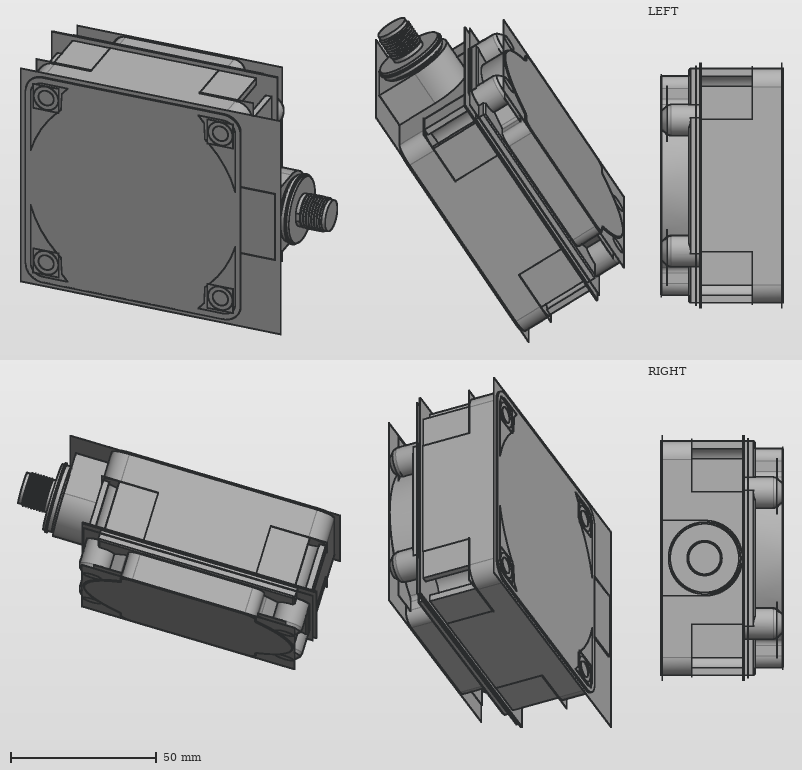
import cadquery as cq
import math

QUADRANTS = [(1, 1), (-1, 1), (-1, -1), (1, -1)]

half_depth = 42.25 / 2
half_width = 40.0
half_height = 40.35
corner_radius = 6.3
front_y = -half_depth
back_y = half_depth
seam_y = 7.45
seam_thickness = 0.5
lug_y = -10.45

sheet_thickness = 0.1
main_half = 84.08 / 2
front_sheet_y = -20.6
front_sheet_right = 54.84
gasket_y = 8.85
gasket_half = 41.1
back_sheet_y = 20.85
back_sheet_half = 38.2
washer_y = 18.9
washer_x = (24.4, 34.5)
washer_z = (13.6, 34.2)

screw_offset = 32.45
cavity_radius = 5.5
notch_offset = 34.2
panel_x = 20.2
panel_z = 22.8
panel_depth = 0.1
lug_plate_half_x = 40.4
lug_plate_half_z = 40.8

recess_half = 38.1
recess_corner_radius = 4.5
disc_radius = 39.6
relief_top_x = 24.3
relief_bend = (26.5, 35.5)
relief_side_x = 26.8
relief_reach = 50.0
recess_step = 0.1
mount_square = 9.5
mount_ring_diameter = 9.1
mount_hole_diameter = 5.7

cover_top_y = 11.4
cover_half_x = 35.3
cover_half_z = 23.4
cover_edge = 0.6
plateau_radius = 37.7
plateau_half_x = 24.4
plateau_corner_radius = 4.2
plateau_throat_radius = 2.5
plateau_edge = 0.4

boss_x = 34.6
boss_z = 22.5
boss_radius = 5.4
boss_top_y = 17.6
collar_radius = 5.0
collar_top_y = 18.9
head_radius = 3.15
head_top_y = 20.8

connector_y = -6.0
arch_radius = 13.0
arch_front_y = front_y + 0.2
arch_end_x = 52.8
neck_radius = 11.1
nut_start_x = 53.6
nut_radius = 11.8
ridge_start_x = 55.2
ridge_end_x = 55.8
ridge_radius = 12.4
nut_end_x = 56.7
stem_radius = 5.8
thread_start_x = 58.2
thread_pitch = 1.0
thread_turns = 8
thread_radius = 6.0
thread_root_radius = 5.4
tip_radius = 5.5
tip_end_x = 109.63 - main_half
stem_flat_distance = 5.6


def plane_at(y):
    """Work plane facing -Y at depth y, with local axes X and Z."""
    return cq.Workplane("XZ", origin=(0, y, 0))


def box(x_range, y_range, z_range):
    sizes = [high - low for low, high in (x_range, y_range, z_range)]
    corner = (x_range[0], y_range[0], z_range[0])
    return cq.Workplane("XY").box(*sizes, centered=False).translate(corner)


def block(half_x, half_z, y0, y1):
    return box((-half_x, half_x), (y0, y1), (-half_z, half_z))


def cylinder(x, z, radius, y0, y1):
    return plane_at(y0).center(x, z).circle(radius).extrude(y0 - y1)


def mirrored(shape, sign_x, sign_z):
    """Move a feature from the +X +Z quadrant to another quadrant."""
    if sign_x < 0:
        shape = shape.mirror("YZ")
    if sign_z < 0:
        shape = shape.mirror("XY")
    return shape


def in_all_quadrants(shape):
    copies = [mirrored(shape, *signs) for signs in QUADRANTS]
    combined = copies[0]
    for copy in copies[1:]:
        combined = combined.union(copy)
    return combined


def sheet(half_x, half_z, y):
    return block(half_x, half_z, y, y + sheet_thickness)


def corner_relief(y0, y1):
    """Corner region outside the round sensing disc, open towards +X and +Z."""
    arc_angle = math.acos(relief_side_x / disc_radius)
    arc_mid = (disc_radius * math.cos(arc_angle / 2), disc_radius * math.sin(arc_angle / 2))
    return (
        plane_at(y0)
        .moveTo(disc_radius, 0)
        .threePointArc(arc_mid, (relief_side_x, disc_radius * math.sin(arc_angle)))
        .lineTo(*relief_bend)
        .lineTo(relief_top_x, recess_half)
        .lineTo(relief_top_x, relief_reach)
        .lineTo(relief_reach, relief_reach)
        .lineTo(relief_reach, 0)
        .close()
        .extrude(y0 - y1)
    )


def corner_cavity():
    """Open corner with a round clearance around the mounting screw axis."""
    y_range = (lug_y, seam_y)
    corner = box((notch_offset, relief_reach), y_range, (notch_offset, relief_reach))
    return corner.union(cylinder(screw_offset, screw_offset, cavity_radius, *y_range))


def corner_panel():
    """Shallow step around the outside of each rear corner of the housing."""
    y_range = (lug_y, seam_y)
    corner = box((panel_x, relief_reach), y_range, (panel_z, relief_reach))
    core = block(half_width - panel_depth, half_height - panel_depth, *y_range)
    return corner.cut(core)


def corner_recess():
    """Shallow recess on the front face, stepping down to the mounting hole."""
    floor = front_y + recess_step
    inset = block(recess_half, recess_half, front_y, floor).edges("|Y").fillet(recess_corner_radius)
    recess = corner_relief(front_y, floor).intersect(inset)
    centre = plane_at(front_y).center(screw_offset, screw_offset)
    square = centre.rect(mount_square, mount_square).extrude(-2 * recess_step)
    ring = centre.circle(mount_ring_diameter / 2).extrude(-3 * recess_step)
    hole = centre.circle(mount_hole_diameter / 2).extrude(-4 * recess_step)
    return recess.union(square).union(ring).union(hole)


def housing():
    body = block(half_width, half_height, front_y, seam_y).edges("|Y").fillet(corner_radius)
    for feature in (corner_cavity(), corner_panel(), corner_recess()):
        body = body.cut(in_all_quadrants(feature))
    lug_plate = box(
        (panel_x, lug_plate_half_x), (lug_y, lug_y + sheet_thickness), (panel_z, lug_plate_half_z)
    )
    return body.union(in_all_quadrants(lug_plate))


def plateau():
    """Raised sensing disc, merged with a rounded bar that runs along Z."""
    bar = block(plateau_half_x, plateau_radius, cover_top_y, back_y)
    bar = bar.edges("|Y").fillet(plateau_corner_radius)
    disc = cylinder(0, 0, plateau_radius, cover_top_y, back_y)
    throat_z = math.sqrt(plateau_radius**2 - plateau_half_x**2)
    throats = cq.selectors.BoxSelector(
        (-plateau_half_x - plateau_edge, cover_top_y, -throat_z - plateau_edge),
        (plateau_half_x + plateau_edge, back_y, throat_z + plateau_edge),
    )
    raised = disc.union(bar)
    corners = raised.edges("|Y").edges(throats)
    return corners.fillet(plateau_throat_radius).faces(">Y").chamfer(plateau_edge)


def cover():
    tall = block(cover_half_x, half_height, seam_y, cover_top_y)
    wide = block(half_width, cover_half_z, seam_y, cover_top_y)
    base = tall.union(wide).faces(">Y").chamfer(cover_edge)
    return base.union(plateau())


def cover_screw():
    profile = [
        (0, seam_y),
        (boss_radius, seam_y),
        (boss_radius, boss_top_y),
        (collar_radius, collar_top_y),
        (head_radius, head_top_y),
        (0, head_top_y),
    ]
    boss = cq.Workplane("XY").polyline(profile).close().revolve(360, (0, 0, 0), (0, 1, 0))
    return boss.translate((boss_x, 0, boss_z))


def sheets():
    front = box(
        (-main_half, front_sheet_right),
        (front_sheet_y, front_sheet_y + sheet_thickness),
        (-main_half, main_half),
    )
    seam = block(main_half, main_half, seam_y - seam_thickness / 2, seam_y + seam_thickness / 2)
    gasket = sheet(gasket_half, gasket_half, gasket_y)
    back = sheet(back_sheet_half, back_sheet_half, back_sheet_y)
    washer = box(washer_x, (washer_y, washer_y + sheet_thickness), washer_z)
    return front.union(seam).union(gasket).union(back).union(in_all_quadrants(washer))


def connector_arch():
    """Block under a half cylinder that carries the plug connector."""
    return (
        cq.Workplane("YZ")
        .moveTo(arch_front_y, -arch_radius)
        .lineTo(connector_y, -arch_radius)
        .threePointArc((connector_y + arch_radius, 0), (connector_y, arch_radius))
        .lineTo(arch_front_y, arch_radius)
        .close()
        .extrude(arch_end_x)
    )


def plug():
    """Turned connector: neck, ridged nut, stem and ring-shaped thread grooves."""
    profile = [
        (0, 0),
        (0, neck_radius),
        (nut_start_x, neck_radius),
        (nut_start_x, nut_radius),
        (ridge_start_x, nut_radius),
        (ridge_start_x, ridge_radius),
        (ridge_end_x, ridge_radius),
        (ridge_end_x, nut_radius),
        (nut_end_x, nut_radius),
        (nut_end_x, stem_radius),
        (thread_start_x, stem_radius),
    ]
    for turn in range(thread_turns):
        root_x = thread_start_x + turn * thread_pitch
        profile.append((root_x, thread_root_radius))
        profile.append((root_x + thread_pitch / 2, thread_radius))
    thread_end_x = thread_start_x + thread_turns * thread_pitch
    profile += [(thread_end_x, tip_radius), (tip_end_x, tip_radius), (tip_end_x, 0)]
    turned = cq.Workplane("XY").polyline(profile).close().revolve(360, (0, 0, 0), (1, 0, 0))
    flat = box(
        (nut_end_x, thread_start_x), (-arch_radius, -stem_flat_distance), (-arch_radius, arch_radius)
    )
    return turned.cut(flat).translate((0, connector_y, 0))


result = (
    housing()
    .union(connector_arch())
    .union(plug())
    .union(cover())
    .union(in_all_quadrants(cover_screw()))
    .union(sheets())
)